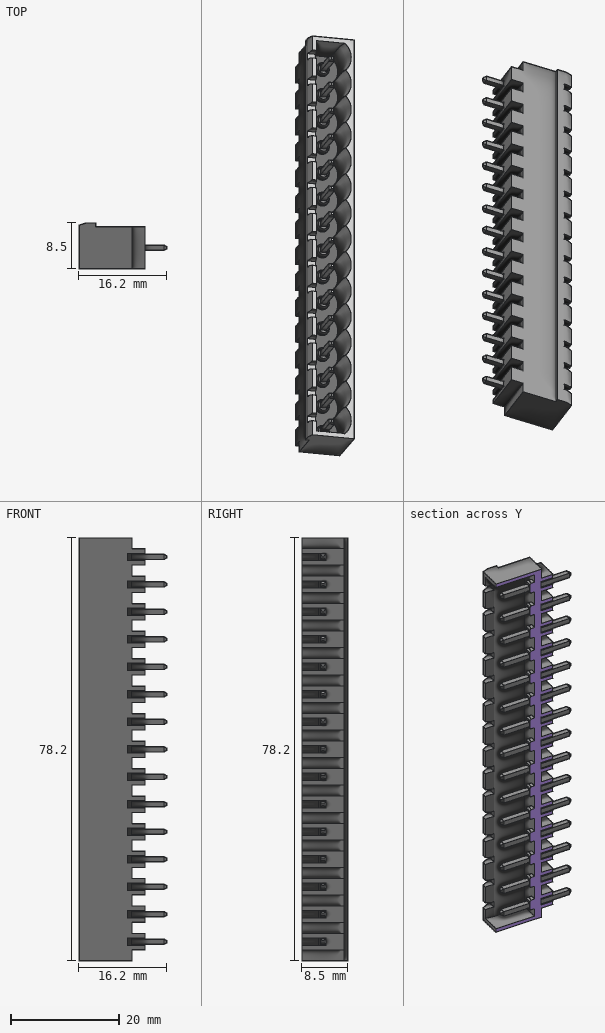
import cadquery as cq
import math

pole_count = 15
pitch = 5.08
length_z = 78.2
pole_z = [(i - (pole_count - 1) / 2) * pitch for i in range(pole_count)]

body_depth = 9.8
body_width = 7.8
latch_rise = 0.7
latch_start_rise = 0.28
latch_ramp = 1.3
latch_length = 3.1

block_depth = 2.4
block_height = 3.05

pin_y = 3.9
pin_size = 1.0
pin_front = 1.2
pin_rear = 16.2
tip_length = 0.5
tip_size = 0.4

cavity_depth = 8.2
end_wall = 0.85
latch_wall_y = 7.0
lobe_radius = 3.3
lobe_center_y = 4.15
lead_in = 0.25
lead_in_depth = 1.7

notch_width = 1.2
notch_mouth_width = 1.55
notch_taper = 0.8

collar_radius = 1.25
collar_height = 1.0
collar_chamfer = 0.3

slot_width = 1.35
slot_start = 8.9
ledge_length = 0.8
ledge_cover = 0.3

block_end = body_depth + block_depth


def make_housing():
    """Housing with the ramped latch ridge along its +Y edge."""
    top = body_width + latch_rise
    return (
        cq.Workplane("XY", origin=(0, 0, -length_z / 2))
        .moveTo(0, 0)
        .lineTo(body_depth, 0)
        .lineTo(body_depth, body_width)
        .lineTo(latch_length, body_width)
        .lineTo(latch_length, top)
        .lineTo(latch_ramp, top)
        .lineTo(0, body_width + latch_start_rise)
        .close()
        .extrude(length_z)
    )


def box_between(x, y, z):
    """Box spanning the given (low, high) ranges."""
    return cq.Workplane("XY").box(
        x[1] - x[0], y[1] - y[0], z[1] - z[0], centered=False
    ).translate((x[0], y[0], z[0]))


def centred(center, size):
    """Range of the given size about a centre."""
    return (center - size / 2, center + size / 2)


def cavity_section(x, wall_y, radius):
    """Cavity outline at x: straight latch side, one arc per pole opposite."""
    half_length = length_z / 2 - end_wall
    outline = cq.Workplane("YZ", origin=(x, 0, 0)).moveTo(wall_y, -half_length)
    joints = [-half_length] + [z + pitch / 2 for z in pole_z[:-1]] + [half_length]

    def arc_y(offset):
        return lobe_center_y - math.sqrt(radius**2 - offset**2)

    outline = outline.lineTo(arc_y(joints[0] - pole_z[0]), joints[0])
    for z, joint in zip(pole_z, joints[1:]):
        outline = outline.threePointArc((lobe_center_y - radius, z), (arc_y(joint - z), joint))
    return outline.lineTo(wall_y, half_length).close()


def make_cavity():
    """Straight cavity with a tapering mouth."""
    cavity = cavity_section(0, latch_wall_y, lobe_radius).extrude(cavity_depth)
    mouth_wires = [
        cavity_section(0, latch_wall_y + lead_in, lobe_radius + lead_in).wire().val(),
        cavity_section(lead_in_depth, latch_wall_y, lobe_radius).wire().val(),
    ]
    mouth = cq.Solid.makeLoft(mouth_wires, True)
    return cavity.union(cq.Workplane(obj=mouth))


def make_notch(z):
    """Notch through the latch-side wall, flared at the mating face."""
    return (
        cq.Workplane("XZ", origin=(0, latch_wall_y, z))
        .moveTo(0, -notch_mouth_width / 2)
        .lineTo(notch_taper, -notch_width / 2)
        .lineTo(lead_in_depth, -notch_width / 2)
        .lineTo(lead_in_depth, notch_width / 2)
        .lineTo(notch_taper, notch_width / 2)
        .lineTo(0, notch_mouth_width / 2)
        .close()
        .extrude(latch_wall_y - body_width - latch_rise)
    )


def make_block(z):
    """Standoff block on the rear face."""
    return box_between(
        (body_depth, block_end), (0, body_width), centred(z, block_height)
    )


def make_slot(z):
    """Slot from the -Y face past the pin, with a ledge over the pin root."""
    ledge_y = pin_y - pin_size / 2 - ledge_cover
    floor_y = pin_y + pin_size / 2
    slot_z = centred(z, slot_width)
    root = box_between((slot_start, block_end), (0, ledge_y), slot_z)
    channel = box_between((slot_start + ledge_length, block_end), (0, floor_y), slot_z)
    return root.union(channel)


def make_collar(z):
    """Chamfered round collar on the cavity floor."""
    return (
        cq.Workplane("YZ", origin=(cavity_depth, pin_y, z))
        .circle(collar_radius)
        .extrude(-collar_height)
        .faces("<X")
        .chamfer(collar_chamfer)
    )


def make_pin(z):
    """Square pin with a tapered tip at each end."""

    def tip(x_small, x_full):
        return (
            cq.Workplane("YZ", origin=(x_small, pin_y, z))
            .rect(tip_size, tip_size)
            .workplane(offset=x_full - x_small)
            .rect(pin_size, pin_size)
            .loft()
        )

    front_full = pin_front + tip_length
    rear_full = pin_rear - tip_length
    shank = box_between(
        (front_full, rear_full),
        centred(pin_y, pin_size),
        centred(z, pin_size),
    )
    return shank.union(tip(pin_front, front_full)).union(tip(pin_rear, rear_full))


def per_pole(maker):
    """One copy of a feature at every pole."""
    return cq.Workplane().newObject([maker(z).val() for z in pole_z])


result = (
    make_housing()
    .union(per_pole(make_block))
    .cut(make_cavity())
    .cut(per_pole(make_notch))
    .cut(per_pole(make_slot))
    .union(per_pole(make_collar))
    .union(per_pole(make_pin))
)